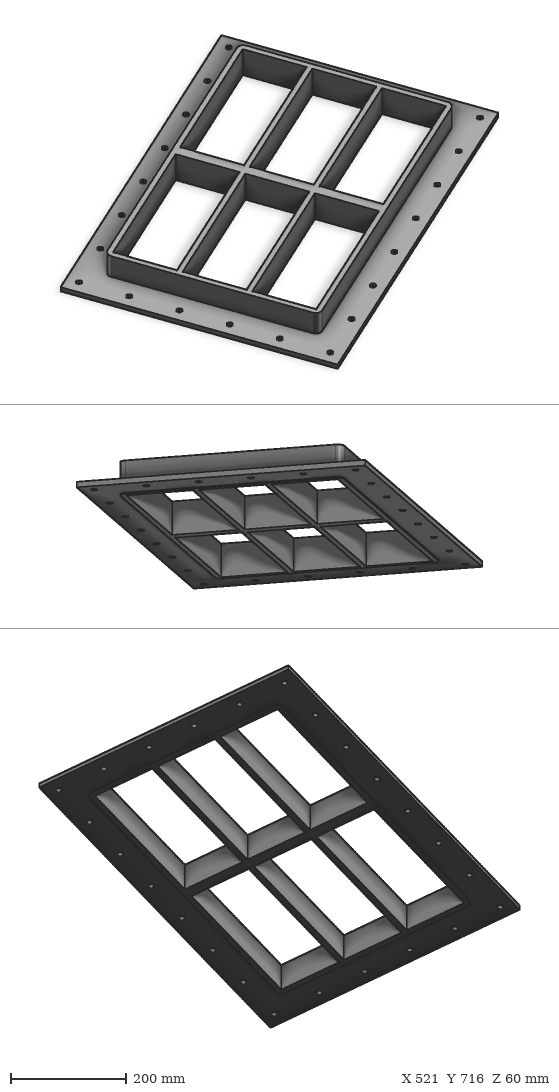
import cadquery as cq

flange_width = 521.0
flange_length = 716.0
flange_thickness = 10.0

flange_border = 59.0
frame_width = flange_width - 2 * flange_border
frame_length = flange_length - 2 * flange_border
frame_height = 60.0
frame_corner_radius = 12.0
lower_projection = 2.0

wall_thickness = 11.0
long_bar_thickness = 11.0
cross_bar_thickness = 20.0
window_columns = 3
window_rows = 2
inner_width = frame_width - 2 * wall_thickness
inner_length = frame_length - 2 * wall_thickness
window_width = (inner_width - (window_columns - 1) * long_bar_thickness) / window_columns
window_length = (inner_length - (window_rows - 1) * cross_bar_thickness) / window_rows

hole_diameter = 11.0
hole_edge_distance = 24.0
holes_across = 6
holes_along = 8
hole_pitch_x = (flange_width - 2 * hole_edge_distance) / (holes_across - 1)
hole_pitch_y = (flange_length - 2 * hole_edge_distance) / (holes_along - 1)


def bolt_hole_centres():
    """Centres of the evenly spaced holes around the rectangular bolt pattern."""
    centres = []
    for column in range(holes_across):
        for row in range(holes_along):
            if column in (0, holes_across - 1) or row in (0, holes_along - 1):
                x = -flange_width / 2 + hole_edge_distance + column * hole_pitch_x
                y = -flange_length / 2 + hole_edge_distance + row * hole_pitch_y
                centres.append((x, y))
    return centres


def make_flange():
    """Plate with bolt holes, raised by the projection of the frame below it."""
    base = cq.Workplane("XY").workplane(offset=lower_projection)
    plate = base.rect(flange_width, flange_length).extrude(flange_thickness)
    holes = base.pushPoints(bolt_hole_centres()).circle(hole_diameter / 2).extrude(flange_thickness)
    return plate.cut(holes)


def make_frame_block():
    """Solid block with rounded vertical corners, before the windows are cut."""
    block = cq.Workplane("XY").rect(frame_width, frame_length).extrude(frame_height)
    return block.edges("|Z").fillet(frame_corner_radius)


def make_windows():
    """Sharp-cornered openings through the full height."""
    pitch_x = window_width + long_bar_thickness
    pitch_y = window_length + cross_bar_thickness
    return (
        cq.Workplane("XY")
        .rarray(pitch_x, pitch_y, window_columns, window_rows)
        .rect(window_width, window_length)
        .extrude(frame_height)
    )


result = make_flange().union(make_frame_block()).cut(make_windows())